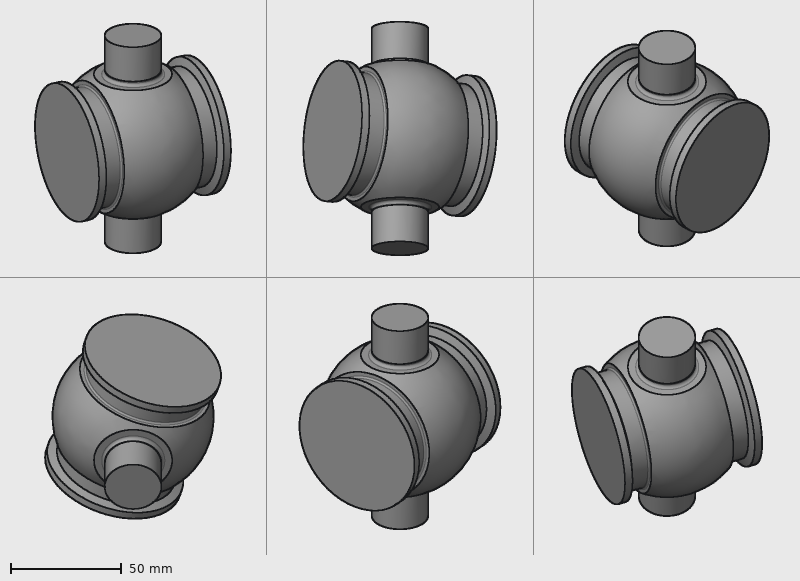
import cadquery as cq

total_height = 102.4
total_depth = 66.8
body_diameter = 73.0

body_height = 63.9
body_depth = 39.9

stem_radius = 12.8
root_radius = 12.7
root_fillet = 1.5
root_height = 2.1

neck_radius = 27.8
neck_fillet = 0.8
flange_radius = body_height / 2
flange_rim = 3.7
flange_taper = 1.4


def make_body():
    """Sphere trimmed by two pairs of parallel planes."""
    trim = cq.Workplane("XY").box(body_diameter, body_depth, body_height)
    return cq.Workplane("XY").sphere(body_diameter / 2).intersect(trim)


def make_stems():
    """Both stems revolved about Z, with slightly slimmer, filleted roots."""
    root = body_height / 2
    top = total_height / 2
    stem = (
        cq.Workplane("XZ")
        .moveTo(0, 0)
        .lineTo(root_radius + root_fillet, 0)
        .lineTo(root_radius + root_fillet, root)
        .radiusArc((root_radius, root + root_fillet), root_fillet)
        .lineTo(root_radius, root + root_height)
        .lineTo(stem_radius, root + root_height)
        .lineTo(stem_radius, top)
        .lineTo(0, top)
        .close()
        .revolve(360, (0, 0, 0), (0, 1, 0))
    )
    return stem.union(stem.mirror("XY"))


def make_flanges():
    """Neck and tapered flange revolved about Y, on both sides."""
    root = body_depth / 2
    face = total_depth / 2
    rim_back = face - flange_rim
    flange = (
        cq.Workplane("XY")
        .moveTo(0, 0)
        .lineTo(neck_radius + neck_fillet, 0)
        .lineTo(neck_radius + neck_fillet, root)
        .radiusArc((neck_radius, root + neck_fillet), neck_fillet)
        .lineTo(neck_radius, rim_back - flange_taper)
        .lineTo(flange_radius, rim_back)
        .lineTo(flange_radius, face)
        .lineTo(0, face)
        .close()
        .revolve(360, (0, 0, 0), (0, 1, 0))
    )
    return flange.union(flange.mirror("XZ"))


result = make_body().union(make_stems()).union(make_flanges())